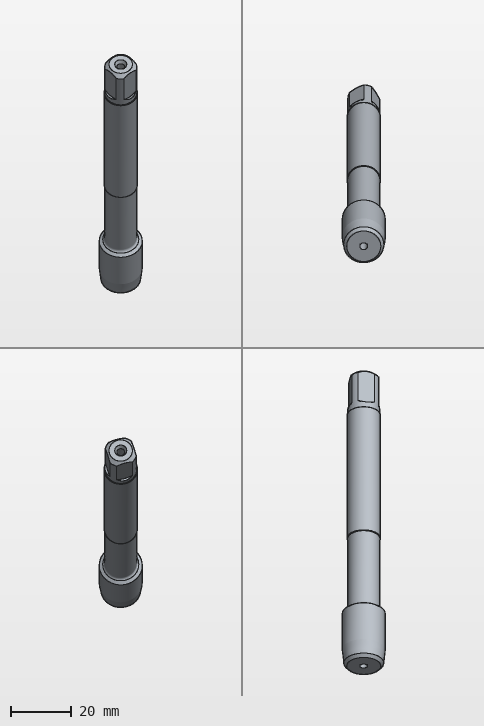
import cadquery as cq
import math

total_length = 110.0
bore_diameter = 2.5

head_radius = 14.2 / 2
head_top = 20.7
head_shoulder_height = 0.8
head_top_radius = 5.9
lead_top = 6.0
lead_end_radius = 6.6
tip_chamfer_height = 1.1
tip_radius = 5.6

neck_radius = 10.7 / 2
shank_radius = 11.0 / 2
drive_radius = 10.6 / 2
fillet_height = 1.0
neck_top = 48.4
step_chamfer_height = 0.2
shank_top = 95.6

square_half_width = 4.5
flat_length = 12.5
flat_end_radius = 5.5
end_chamfer_height = 1.2
end_face_radius = 3.8
countersink_radius = 2.0
countersink_angle = 60.0


def make_bore():
    """Coolant bore that passes through both bodies."""
    return cq.Workplane("XY").circle(bore_diameter / 2).extrude(total_length)


def make_head():
    """Cutting head with a conical lead taper and a chamfered tip."""
    profile = (
        cq.Workplane("XZ")
        .lineTo(tip_radius, 0)
        .lineTo(lead_end_radius, tip_chamfer_height)
        .lineTo(head_radius, lead_top)
        .lineTo(head_radius, head_top - head_shoulder_height)
        .lineTo(head_top_radius, head_top)
        .lineTo(0, head_top)
        .close()
    )
    return profile.revolve(360, (0, 0, 0), (0, 1, 0)).cut(make_bore())


def make_shank_blank():
    """Turned shank that flares into the head and ends in a chamfered drive."""
    flare = head_top_radius - neck_radius
    fillet_radius = (flare**2 + fillet_height**2) / (2 * flare)
    half_sweep = math.asin(fillet_height / fillet_radius) / 2
    fillet_top = head_top + fillet_height
    fillet_middle = (
        neck_radius + fillet_radius * (1 - math.cos(half_sweep)),
        fillet_top - fillet_radius * math.sin(half_sweep),
    )
    profile = (
        cq.Workplane("XZ")
        .moveTo(0, head_top)
        .lineTo(head_top_radius, head_top)
        .threePointArc(fillet_middle, (neck_radius, fillet_top))
        .lineTo(neck_radius, neck_top)
        .lineTo(shank_radius, neck_top + step_chamfer_height)
        .lineTo(shank_radius, shank_top - step_chamfer_height)
        .lineTo(drive_radius, shank_top)
        .lineTo(drive_radius, total_length - end_chamfer_height)
        .lineTo(end_face_radius, total_length)
        .lineTo(0, total_length)
        .close()
    )
    return profile.revolve(360, (0, 0, 0), (0, 1, 0))


def make_flat_cutter():
    """Cutter for the flat on the -Y side, with a round lower end."""
    arc_centre_height = total_length - flat_length + flat_end_radius
    return (
        cq.Workplane("XZ", origin=(0, -square_half_width, 0))
        .moveTo(-flat_end_radius, arc_centre_height)
        .threePointArc((0, total_length - flat_length), (flat_end_radius, arc_centre_height))
        .lineTo(flat_end_radius, total_length)
        .lineTo(-flat_end_radius, total_length)
        .close()
        .extrude(drive_radius)
    )


def make_countersink():
    """Conical centre at the driven end, narrowing down to the bore."""
    depth = countersink_radius / math.tan(math.radians(countersink_angle / 2))
    return cq.Workplane(
        cq.Solid.makeCone(0, countersink_radius, depth, pnt=(0, 0, total_length - depth))
    )


def make_shank():
    """Shank with four drive flats, the bore and the centre countersink."""
    shank = make_shank_blank()
    flat_cutter = make_flat_cutter()
    for angle in (0, 90, 180, 270):
        shank = shank.cut(flat_cutter.rotate((0, 0, 0), (0, 0, 1), angle))
    return shank.cut(make_bore()).cut(make_countersink())


head = make_head()
shank = make_shank()
result = cq.Compound.makeCompound([head.val(), shank.val()])